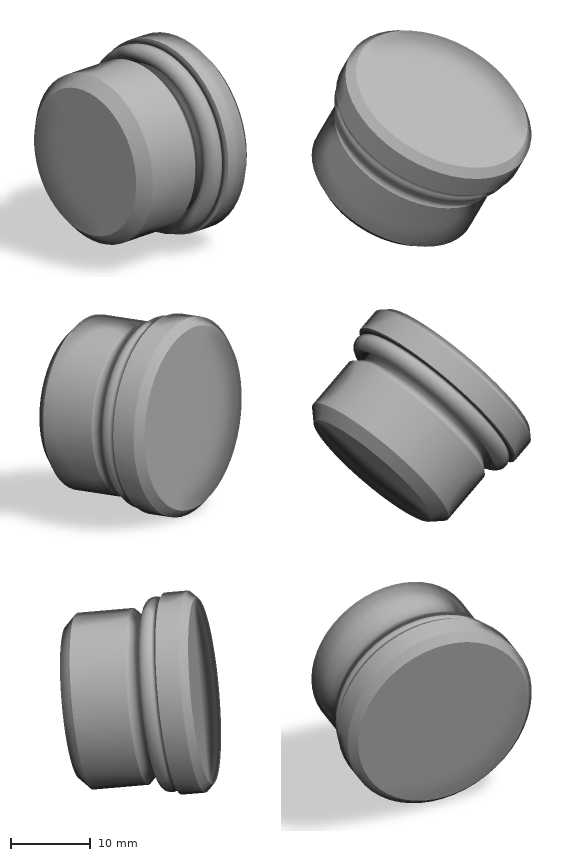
import cadquery as cq


head_diameter = 25.4
head_thickness = 4.0
head_chamfer = 1.0

total_length = 16.65
shank_diameter = 22.22
shank_chamfer = 1.5
neck_diameter = 19.63
neck_fillet_radius = 0.4
neck_cone_end = 4.11

ring_outer_diameter = 24.59
ring_section_diameter = 2.4

head_radius = head_diameter / 2
shank_radius = shank_diameter / 2
neck_radius = neck_diameter / 2
shank_length = total_length - head_thickness
neck_cone_start = neck_cone_end - (shank_radius - neck_radius)


def make_plug():
    """Solid plug: chamfered head, neck, 45 degree cone and chamfered shank."""
    profile = (
        cq.Workplane("XY")
        .moveTo(0, head_thickness)
        .lineTo(head_radius - head_chamfer, head_thickness)
        .lineTo(head_radius, head_thickness - head_chamfer)
        .lineTo(head_radius, 0)
        .lineTo(neck_radius, 0)
        .lineTo(neck_radius, -neck_cone_start)
        .lineTo(shank_radius, -neck_cone_end)
        .lineTo(shank_radius, shank_chamfer - shank_length)
        .lineTo(shank_radius - shank_chamfer, -shank_length)
        .lineTo(0, -shank_length)
        .close()
    )
    plug = profile.revolve(360, (0, 0, 0), (0, 1, 0))
    corner = cq.selectors.BoxSelector(
        (-head_radius, -neck_cone_start - neck_fillet_radius, -head_radius),
        (head_radius, -neck_cone_start + neck_fillet_radius, head_radius),
    )
    return plug.edges("%CIRCLE").edges(corner).fillet(neck_fillet_radius)


def make_seal_ring():
    """Seal ring of round section."""
    section_radius = ring_section_diameter / 2
    center_radius = ring_outer_diameter / 2 - section_radius
    return (
        cq.Workplane("XY")
        .center(center_radius, -section_radius)
        .circle(section_radius)
        .revolve(360, (-center_radius, 0, 0), (-center_radius, 1, 0))
    )


plug = make_plug()
seal_ring = make_seal_ring()

result = cq.Compound.makeCompound([plug.val(), seal_ring.val()])